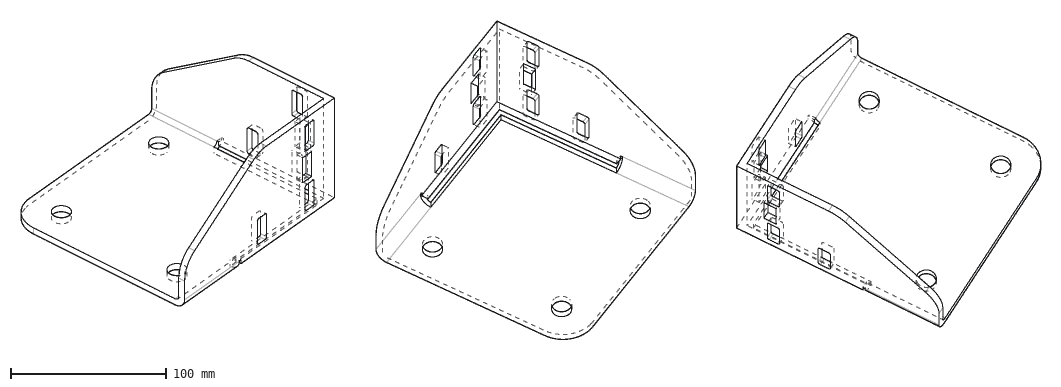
import cadquery as cq

side = 150.0
height = 85.0
sheet = 5.0

bend_inner_radius = 3.0
bend_outer_radius = bend_inner_radius + sheet
bend_length = 55.0
relief_width = 1.5
flat_side = side - bend_outer_radius

base_corner_radius = 22.5
hole_diameter = 13.0
hole_near = 25.0
hole_spacing = 97.5
hole_far = hole_near + hole_spacing

wall_free_end_height = 35.0
wall_slope_run = side / 2
wall_corner_radius = 22.5

slot_width = 9.0
slot_height = 20.5
slot_corner_radius = 1.5
square_slot_height = 20.0
slot_middle_z = 45.0
slot_pitch = 24.0
slot_low_z = slot_middle_z - slot_pitch
slot_high_z = slot_middle_z + slot_pitch

inboard_column = 122.7
outboard_column = 125.2
back_single_column = 85.0
right_single_column = 77.5


def slot(along, up, tall, corner_radius):
    """Upright slot cutter as deep as the back wall, centered at x = along, z = up."""
    cutter = (
        cq.Workplane("XY")
        .box(slot_width, sheet, tall)
        .translate((along, side - sheet / 2, up))
    )
    if corner_radius > 0:
        cutter = cutter.edges("|Y").fillet(corner_radius)
    return cutter


def base_plate():
    plate = (
        cq.Workplane("XY")
        .rect(flat_side, flat_side, centered=False)
        .extrude(sheet)
        .edges("|Z and <X and <Y")
        .fillet(base_corner_radius)
    )
    hole_centers = [(hole_near, hole_near), (hole_far, hole_near), (hole_near, hole_far)]
    holes = cq.Workplane("XY").pushPoints(hole_centers).circle(hole_diameter / 2).extrude(sheet)
    return plate.cut(holes)


def bend():
    """Quarter-round bend along X, from the base edge up to the back wall."""
    ring = (
        cq.Workplane("YZ")
        .center(flat_side, bend_outer_radius)
        .circle(bend_outer_radius)
        .circle(bend_inner_radius)
        .extrude(bend_length)
    )
    quadrant = cq.Workplane("XY").box(bend_length, bend_outer_radius, bend_outer_radius, centered=False)
    return ring.intersect(quadrant.translate((0, flat_side, 0)))


def wall(pair_x, middle_x, single_x):
    """Back wall with a sloped top; its lower edge drops to the base top beyond the bend."""
    relief_end = bend_length + relief_width
    outline = [
        (0, bend_outer_radius),
        (0, wall_free_end_height),
        (wall_slope_run, height),
        (side, height),
        (side, sheet),
        (relief_end, sheet),
        (relief_end, bend_outer_radius),
    ]
    panel = cq.Workplane("XZ").polyline(outline).close().extrude(-sheet).translate((0, side - sheet, 0))
    middle_y = side - sheet / 2
    for x, z in [(0, wall_free_end_height), (wall_slope_run, height)]:
        corner = cq.selectors.NearestToPointSelector((x, middle_y, z))
        panel = panel.edges("|Y").edges(corner).fillet(wall_corner_radius)
    for x, z in [(pair_x, slot_low_z), (pair_x, slot_high_z), (single_x, slot_low_z)]:
        panel = panel.cut(slot(x, z, slot_height, slot_corner_radius))
    return panel.cut(slot(middle_x, slot_middle_z, square_slot_height, 0))


def mirror_to_right(body):
    """Swap X and Y, carrying the back side of the bracket onto its right side."""
    return body.mirror("XZ").rotate((0, 0, 0), (0, 0, 1), 90)


back_side = wall(inboard_column, outboard_column, back_single_column).union(bend())
right_wall = wall(outboard_column, inboard_column, right_single_column)
right_side = mirror_to_right(right_wall.union(bend()))
result = base_plate().union(back_side).union(right_side)